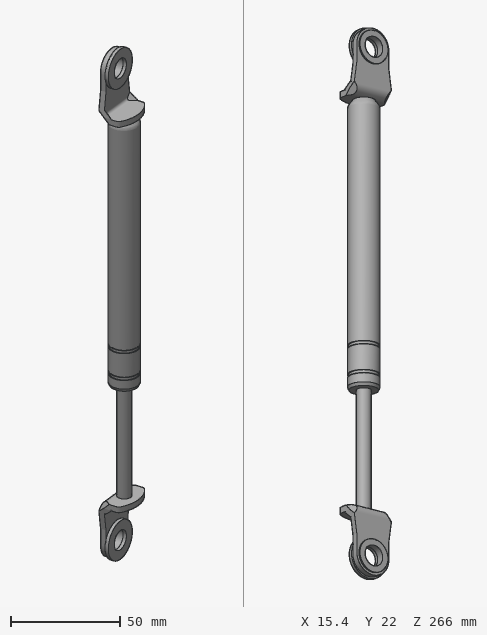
import cadquery as cq

eye_spacing = 246.0
eye_to_seat = 24.0

sheet = 3.0
plate_face = -6.9
plate_back = plate_face + sheet
flange_tip = 7.7
flange_back = eye_to_seat - sheet
inner_bend = 1.5
outer_bend = inner_bend + sheet
eye_radius = 9.2
half_width = 11.0
taper_start = 8.7
flange_corner_x = 3.9
flange_corner_radius = 2.5
outer_facet_leg = 5.9
inner_facet_leg = 4.2
facet_slope = 1.1

bore_radius = 5.0
boss_radius = 8.0
boss_height = 0.8
washer_radius = 10.0
washer_thickness = 1.8

tube_radius = 7.5
tube_bottom = 82.0
tube_top = eye_spacing - eye_to_seat
shoulder_height = 3.2
shoulder_base = tube_top - shoulder_height
shoulder_top_radius = 5.3
shoulder_rounding = 2.5
nose_height = 1.5
nose_width = 0.7
groove_heights = (6.0, 20.0)
groove_width = 1.5
groove_depth = 0.5
rod_radius = 3.5


def bent_sheet():
    """L-shaped sheet, full width, with the bend rounded inside and outside."""
    sheet_body = (
        cq.Workplane("XZ")
        .moveTo(plate_face, -eye_radius)
        .lineTo(plate_face, eye_to_seat)
        .lineTo(flange_tip, eye_to_seat)
        .lineTo(flange_tip, flange_back)
        .lineTo(plate_back, flange_back)
        .lineTo(plate_back, -eye_radius)
        .close()
        .extrude(half_width, both=True)
    )
    outer_corner = cq.selectors.NearestToPointSelector((plate_face, 0, eye_to_seat))
    inner_corner = cq.selectors.NearestToPointSelector((plate_back, 0, flange_back))
    sheet_body = sheet_body.edges(outer_corner).fillet(outer_bend)
    return sheet_body.edges(inner_corner).fillet(inner_bend)


def plate_outline():
    """Round eye whose sides widen up to the flange, as a prism along X."""
    return (
        cq.Workplane("YZ", origin=(plate_face, 0, 0))
        .moveTo(-half_width, eye_to_seat)
        .lineTo(-half_width, flange_back)
        .lineTo(-eye_radius, taper_start)
        .lineTo(-eye_radius, 0)
        .threePointArc((0, -eye_radius), (eye_radius, 0))
        .lineTo(eye_radius, taper_start)
        .lineTo(half_width, flange_back)
        .lineTo(half_width, eye_to_seat)
        .close()
        .extrude(flange_tip - plate_face)
    )


def flange_outline():
    """Straight sides and a bowed end with rounded corners, as a prism along Z."""
    return (
        cq.Workplane("XY", origin=(0, 0, -eye_radius))
        .moveTo(plate_face, -half_width)
        .lineTo(flange_corner_x, -half_width)
        .threePointArc((flange_tip, 0), (flange_corner_x, half_width))
        .lineTo(plate_face, half_width)
        .close()
        .extrude(eye_radius + eye_to_seat)
        .edges("|Z and (not <X)")
        .fillet(flange_corner_radius)
    )


def slanted_half_space(edge_x, edge_z):
    """Everything outward of a slanted plane that starts on the -Y side at the given X and Z."""
    slanted = cq.Plane(
        origin=(edge_x, -half_width, edge_z),
        xDir=(1, 0, 1),
        normal=(-facet_slope, -2 ** 0.5, facet_slope),
    )
    size = 4 * half_width
    return cq.Workplane(slanted).rect(size, size).extrude(size)


def bend_gusset():
    """Small slanted web inside the bend at the -Y side, rooted in the middle of the sheet."""
    mid_sheet = sheet / 2
    web = (
        cq.Workplane("XZ")
        .moveTo(plate_back - mid_sheet, flange_back + mid_sheet)
        .lineTo(plate_back - mid_sheet, flange_back - inner_facet_leg)
        .lineTo(plate_back, flange_back - inner_facet_leg)
        .lineTo(plate_back + inner_facet_leg, flange_back)
        .lineTo(plate_back + inner_facet_leg, flange_back + mid_sheet)
        .close()
        .extrude(half_width)
    )
    return web.intersect(slanted_half_space(plate_back, flange_back - inner_facet_leg))


def make_bracket():
    """Lower bracket: eye at the origin, flange above it."""
    gusset = bend_gusset()
    bracket = bent_sheet().union(gusset).union(gusset.mirror("XZ"))
    bracket = bracket.intersect(plate_outline()).intersect(flange_outline())
    corner_cut = slanted_half_space(plate_face, eye_to_seat - outer_facet_leg)
    bracket = bracket.cut(corner_cut).cut(corner_cut.mirror("XZ"))
    boss_plane = cq.Workplane("YZ", origin=(plate_face - boss_height, 0, 0))
    boss = boss_plane.circle(boss_radius).extrude(boss_height)
    bore = boss_plane.circle(bore_radius).extrude(boss_height + sheet)
    return bracket.union(boss).cut(bore)


def make_washer():
    """Washer lying on the inner face of the plate, around the eye."""
    washer_plane = cq.Workplane("YZ", origin=(plate_back, 0, 0))
    return washer_plane.circle(washer_radius).circle(bore_radius).extrude(washer_thickness)


def make_tube():
    """Closed tube with a chamfered nose, a rounded shoulder and two crimp grooves."""
    tube = (
        cq.Workplane("XZ")
        .moveTo(0, tube_bottom)
        .lineTo(tube_radius - nose_width, tube_bottom)
        .lineTo(tube_radius, tube_bottom + nose_height)
        .lineTo(tube_radius, shoulder_base)
        .lineTo(shoulder_top_radius, tube_top)
        .lineTo(0, tube_top)
        .close()
        .revolve(360, (0, 0), (0, 1))
    )
    shoulder_edge = cq.selectors.NearestToPointSelector((0, 0, shoulder_base))
    tube = tube.edges("%CIRCLE").edges(shoulder_edge).fillet(shoulder_rounding)
    for height in groove_heights:
        groove = (
            cq.Workplane("XY", origin=(0, 0, tube_bottom + height))
            .circle(tube_radius + groove_depth)
            .circle(tube_radius - groove_depth)
            .extrude(groove_width)
        )
        tube = tube.cut(groove)
    return tube


def make_rod():
    """Rod between the lower bracket and the nose of the tube."""
    rod_plane = cq.Workplane("XY", origin=(0, 0, eye_to_seat))
    return rod_plane.circle(rod_radius).extrude(tube_bottom - eye_to_seat)


def upper_copy(lower_body):
    """The same body turned over for the upper end of the spring."""
    return lower_body.mirror("XY").translate((0, 0, eye_spacing))


tube = make_tube()
rod = make_rod()
bodies = [tube.val(), rod.val()]
for end_body in (make_bracket(), make_washer()):
    bodies.append(end_body.val())
    bodies.append(upper_copy(end_body).val())

result = cq.Compound.makeCompound(bodies)